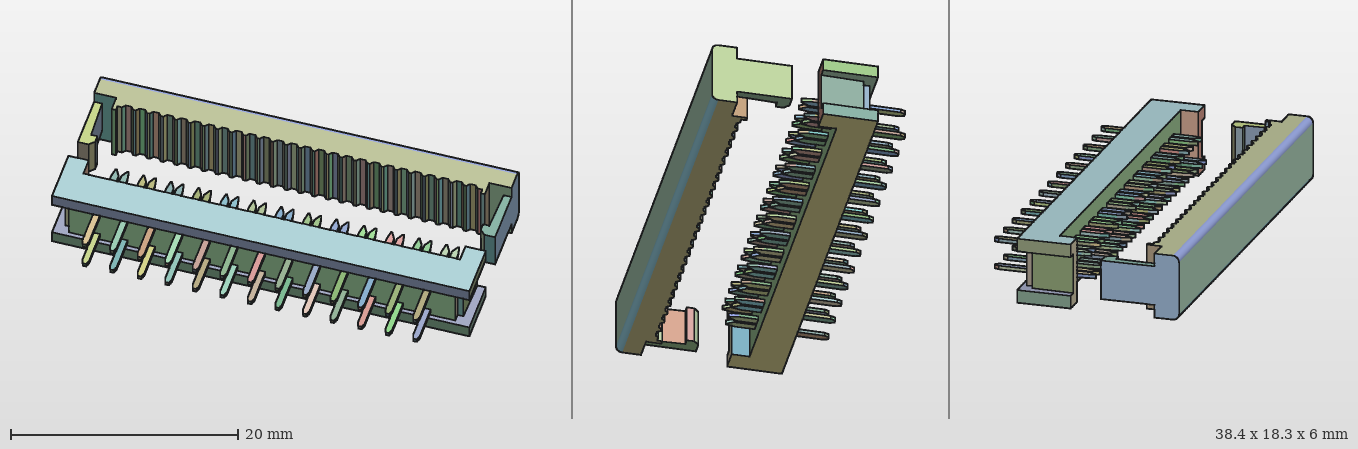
import cadquery as cq


LENGTH = 38.42
HEIGHT = 6.0
FLANGE_THICKNESS = 1.2
WEB_HEIGHT = HEIGHT - 2 * FLANGE_THICKNESS

CONTACTS_PER_ROW = 13
WIRE_PITCH = 1.25
CONTACT_PITCH = 2 * WIRE_PITCH
ROW_SPACING = CONTACT_PITCH
METAL_THICKNESS = 0.35
FORK_WIDTH = 1.5
FORK_SLOT = 0.23
FORK_ROOT_Y = 2.3
FORK_SLOT_BOTTOM_Y = 3.45
FORK_TIP_Y = 6.0
FORK_OUTER_SHOULDER_Y = 5.1
FORK_INNER_SHOULDER_Y = 5.35
FORK_TIP_INSET = 0.15
FORK_TIP_WIDTH = 0.1
TAIL_WIDTH = 0.6
TAIL_LENGTH = 3.3
TAIL_TAPER_LENGTH = 0.42
TAIL_TIP_WIDTH = 0.3

BASE_DEPTH = 4.95
BASE_FLOOR_Y = 3.35
END_TAB_LENGTH = 1.9
WEB_FACE_Y = 0.42
END_STEP_Y = 1.1
END_STEP_INSET = 1.42
WEB_INSET_AT_STEP = 0.9
WEB_INSET_AT_TOP = 0.75

COVER_BACK_Y = 15.0
COVER_BACK_RADIUS = 0.58
COVER_EDGE_Y = 12.7
COMB_INSET = 2.05
COMB_LIP_WIDTH = 0.4
COMB_LIP_Y = 11.35
TOOTH_Y = 11.8
GROOVE_FLOOR_Y = 12.1
GROOVE_MOUTH_WIDTH = 1.05
GROOVE_FLOOR_WIDTH = 0.5

ARM_ROOT_THICKNESS = 0.73
ARM_NECK_THICKNESS = 0.9
HOOK_WIDTH = 1.45
HOOK_LEDGE_Y = 8.9
ARM_TIP_Y = 7.75
HOOK_CHAMFER = 0.45

HALF_LENGTH = LENGTH / 2
FIRST_TAIL_X = -CONTACT_PITCH * (CONTACTS_PER_ROW - 1) / 2
TAIL_POSITIONS = [FIRST_TAIL_X + i * CONTACT_PITCH for i in range(CONTACTS_PER_ROW)]


def centred_prism(points, height):
    """Extrude an XY outline along Z, centred on Z = 0."""
    return cq.Workplane("XY").polyline(points).close().extrude(height / 2, both=True)


def mirrored_in_x(points):
    return [(-x, y) for x, y in reversed(points)]


def make_fork():
    """Insulation-displacement fork: two pointed tines beside a round-bottomed slot."""
    outer = FORK_WIDTH / 2
    tip_outer = outer - FORK_TIP_INSET
    tip_inner = tip_outer - FORK_TIP_WIDTH
    slot_radius = FORK_SLOT / 2
    slot_arc_y = FORK_SLOT_BOTTOM_Y + slot_radius
    return (
        cq.Workplane("XY")
        .moveTo(-outer, FORK_ROOT_Y)
        .lineTo(outer, FORK_ROOT_Y)
        .lineTo(outer, FORK_OUTER_SHOULDER_Y)
        .lineTo(tip_outer, FORK_TIP_Y)
        .lineTo(tip_inner, FORK_TIP_Y)
        .lineTo(slot_radius, FORK_INNER_SHOULDER_Y)
        .lineTo(slot_radius, slot_arc_y)
        .threePointArc((0, FORK_SLOT_BOTTOM_Y), (-slot_radius, slot_arc_y))
        .lineTo(-slot_radius, FORK_INNER_SHOULDER_Y)
        .lineTo(-tip_inner, FORK_TIP_Y)
        .lineTo(-tip_outer, FORK_TIP_Y)
        .lineTo(-outer, FORK_OUTER_SHOULDER_Y)
        .close()
        .extrude(METAL_THICKNESS / 2, both=True)
    )


def make_tail():
    """Straight solder tail starting inside the base, with its end tapered in width."""
    taper_start_y = TAIL_TAPER_LENGTH - TAIL_LENGTH
    right_side = [
        (TAIL_TIP_WIDTH / 2, -TAIL_LENGTH),
        (TAIL_WIDTH / 2, taper_start_y),
        (TAIL_WIDTH / 2, FORK_ROOT_Y),
    ]
    return centred_prism(right_side + mirrored_in_x(right_side), METAL_THICKNESS)


def make_base_block():
    """Two full-length flanges joined by a narrower web, with raised tabs at both ends."""
    tab_inner_x = HALF_LENGTH - END_TAB_LENGTH
    right_side = [
        (HALF_LENGTH, 0),
        (HALF_LENGTH, BASE_DEPTH),
        (tab_inner_x, BASE_DEPTH),
        (tab_inner_x, BASE_FLOOR_Y),
    ]
    flanged = centred_prism(right_side + mirrored_in_x(right_side), HEIGHT)

    step_x = HALF_LENGTH - END_STEP_INSET
    web_end = [
        (step_x, WEB_FACE_Y),
        (step_x, END_STEP_Y),
        (HALF_LENGTH - WEB_INSET_AT_STEP, END_STEP_Y),
        (HALF_LENGTH - WEB_INSET_AT_TOP, BASE_DEPTH),
    ]
    web = centred_prism(web_end + mirrored_in_x(web_end), WEB_HEIGHT)
    web_space = cq.Workplane("XY").box(LENGTH, 2 * BASE_DEPTH, WEB_HEIGHT)
    return flanged.cut(web_space.cut(web))


def make_base():
    """Base block with both rows of contacts fixed in it as one body."""
    base = make_base_block()
    tail = make_tail()
    fork = make_fork()
    for row_side in (-1, 1):
        row_z = row_side * ROW_SPACING / 2
        fork_shift = row_side * WIRE_PITCH / 2
        for tail_x in TAIL_POSITIONS:
            base = base.union(tail.translate((tail_x, 0, row_z)))
            base = base.union(fork.translate((tail_x + fork_shift, 0, row_z)))
    return base


def make_cover_bar():
    """Pressure bar with rounded back edges and a comb side ending in a lip at each end."""
    comb_end_x = HALF_LENGTH - COMB_INSET
    lip_inner_x = comb_end_x - COMB_LIP_WIDTH
    right_side = [
        (lip_inner_x, TOOTH_Y),
        (lip_inner_x, COMB_LIP_Y),
        (comb_end_x, COMB_LIP_Y),
        (comb_end_x, COVER_EDGE_Y),
        (HALF_LENGTH, COVER_EDGE_Y),
        (HALF_LENGTH, COVER_BACK_Y),
    ]
    bar = centred_prism(right_side + mirrored_in_x(right_side), HEIGHT)
    return bar.faces(">Y").edges("|X").fillet(COVER_BACK_RADIUS)


def make_wire_groove():
    """Cutter for one trapezoidal wire groove."""
    half_mouth = GROOVE_MOUTH_WIDTH / 2
    half_floor = GROOVE_FLOOR_WIDTH / 2
    points = [
        (-half_mouth, TOOTH_Y),
        (half_mouth, TOOTH_Y),
        (half_floor, GROOVE_FLOOR_Y),
        (-half_floor, GROOVE_FLOOR_Y),
    ]
    return centred_prism(points, HEIGHT)


def make_latch_arm(side):
    """Hooked latch arm at one end of the cover; side is -1 or +1."""
    hook_x = HALF_LENGTH - HOOK_WIDTH
    points = [
        (HALF_LENGTH, COVER_EDGE_Y),
        (HALF_LENGTH, ARM_TIP_Y),
        (hook_x + HOOK_CHAMFER, ARM_TIP_Y),
        (hook_x, ARM_TIP_Y + HOOK_CHAMFER),
        (hook_x, HOOK_LEDGE_Y),
        (HALF_LENGTH - ARM_NECK_THICKNESS, HOOK_LEDGE_Y),
        (HALF_LENGTH - ARM_ROOT_THICKNESS, COVER_EDGE_Y),
    ]
    return centred_prism([(side * x, y) for x, y in points], WEB_HEIGHT)


def make_cover():
    """Cover bar with one groove per wire and a latch arm at each end."""
    cover = make_cover_bar()
    groove = make_wire_groove()
    for tail_x in TAIL_POSITIONS:
        for row_side in (-1, 1):
            cover = cover.cut(groove.translate((tail_x + row_side * WIRE_PITCH / 2, 0, 0)))
    for end_side in (-1, 1):
        cover = cover.union(make_latch_arm(end_side))
    return cover


base = make_base()
cover = make_cover()
result = cq.Compound.makeCompound([base.solids().val(), cover.solids().val()])